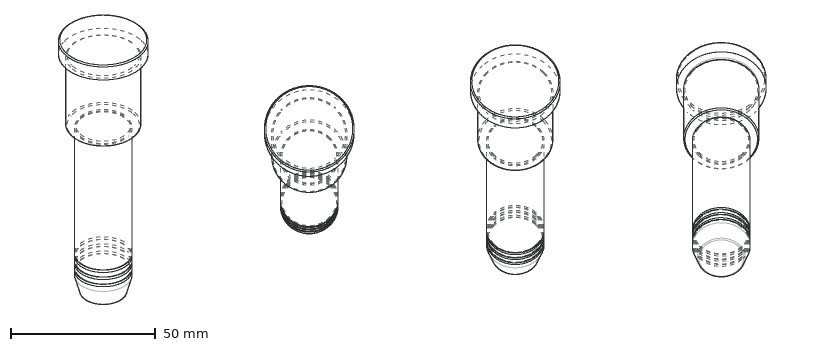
import cadquery as cq
import math

total_length = 106.0

head_radius = 31.0 / 2
head_height = 6.0
head_chamfer = 0.5

collar_radius = 26.0 / 2
collar_height = 30.0
collar_chamfer = 0.5

neck_radius = 19.0 / 2
neck_height = 1.0

pin_radius = 20.0 / 2
taper_height = 7.0
taper_angle = 15.0
tip_fillet = 0.5

groove_radius = 0.5
pin_groove_count = 3
pin_groove_pitch = 3.0
lowest_pin_groove = 9.5

head_bottom = total_length - head_height
collar_bottom = head_bottom - collar_height
pin_top = collar_bottom - neck_height
collar_groove = head_bottom - groove_radius

tip_radius = pin_radius - taper_height * math.tan(math.radians(taper_angle))


def add_groove(outline, surface_radius, center_height):
    """Continue the outline upward through one semicircular groove."""
    groove_floor = (surface_radius - groove_radius, center_height)
    groove_top = (surface_radius, center_height + groove_radius)
    return (
        outline.lineTo(surface_radius, center_height - groove_radius)
        .threePointArc(groove_floor, groove_top)
    )


def add_pin(outline):
    """From the axis, out along the tip and up the taper and the grooved shank."""
    outline = outline.lineTo(tip_radius, 0).lineTo(pin_radius, taper_height)
    for index in range(pin_groove_count):
        outline = add_groove(outline, pin_radius, lowest_pin_groove + index * pin_groove_pitch)
    return outline.lineTo(pin_radius, pin_top)


def add_neck(outline):
    return outline.lineTo(neck_radius, pin_top).lineTo(neck_radius, collar_bottom)


def add_collar(outline):
    """Chamfered lower end, plain side, and the groove that ends at the head."""
    outline = (
        outline.lineTo(collar_radius - collar_chamfer, collar_bottom)
        .lineTo(collar_radius, collar_bottom + collar_chamfer)
    )
    return add_groove(outline, collar_radius, collar_groove)


def add_head(outline):
    """Flat underside, side and chamfered top, back to the axis."""
    return (
        outline.lineTo(head_radius, head_bottom)
        .lineTo(head_radius, total_length - head_chamfer)
        .lineTo(head_radius - head_chamfer, total_length)
        .lineTo(0, total_length)
    )


half_outline = cq.Workplane("XZ").moveTo(0, 0)
for add_section in (add_pin, add_neck, add_collar, add_head):
    half_outline = add_section(half_outline)

body = half_outline.close().revolve(360, (0, 0, 0), (0, 1, 0))
result = body.faces("<Z").edges().fillet(tip_fillet)